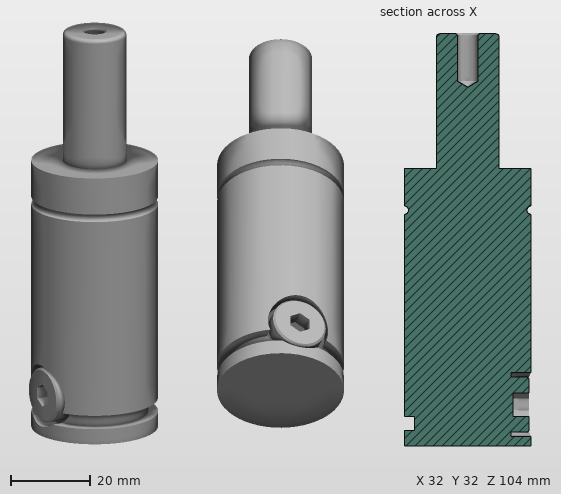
import cadquery as cq
import math

body_diameter = 32.0
body_height = 70.0

base_groove_diameter = 27.0
base_groove_bottom = 4.0
base_groove_top = 7.5

head_groove_radius = 1.0
head_groove_height = 59.5

rod_diameter = 16.0
overall_height = 104.0
rod_edge_radius = 1.0

rod_hole_diameter = 5.0
rod_hole_mouth_diameter = 6.0
rod_hole_depth = 12.0
drill_point_angle = 118.0

plug_height = 10.5
spotface_diameter = 16.0
spotface_floor = 11.0
plug_diameter = 14.0
plug_face = 15.5
plug_chamfer = 0.5
socket_across_flats = 5.0
socket_depth = 4.0


def make_body():
    """Plain cylinder with the fixing groove and the head groove turned into it."""
    body = cq.Workplane("XY").circle(body_diameter / 2).extrude(body_height)
    fixing_groove = (
        cq.Workplane("XY")
        .workplane(offset=base_groove_bottom)
        .circle(body_diameter / 2)
        .circle(base_groove_diameter / 2)
        .extrude(base_groove_top - base_groove_bottom)
    )
    return body.cut(fixing_groove).cut(make_head_groove())


def make_head_groove():
    """Ring of round section centred on the body surface, giving a half-round groove."""
    return cq.Workplane(
        cq.Solid.makeTorus(
            body_diameter / 2,
            head_groove_radius,
            cq.Vector(0, 0, head_groove_height),
        )
    )


def make_rod():
    """Piston rod with a rounded end edge."""
    return (
        cq.Workplane("XY")
        .workplane(offset=body_height)
        .circle(rod_diameter / 2)
        .extrude(overall_height - body_height)
        .faces(">Z")
        .edges()
        .fillet(rod_edge_radius)
    )


def make_rod_hole():
    """Blind hole with a 45 degree countersunk mouth and a conical drill point."""
    hole_radius = rod_hole_diameter / 2
    mouth_radius = rod_hole_mouth_diameter / 2
    countersink_depth = mouth_radius - hole_radius
    hole_bottom = overall_height - rod_hole_depth
    point_length = hole_radius / math.tan(math.radians(drill_point_angle / 2))
    return (
        cq.Workplane("XZ")
        .moveTo(0, overall_height)
        .lineTo(mouth_radius, overall_height)
        .lineTo(hole_radius, overall_height - countersink_depth)
        .lineTo(hole_radius, hole_bottom)
        .lineTo(0, hole_bottom - point_length)
        .close()
        .revolve(360, (0, 0, 0), (0, 1, 0))
    )


def plug_plane(distance):
    """Workplane facing -Y, centred on the plug axis at a distance from the body axis."""
    return cq.Workplane("XZ", origin=(0, -distance, plug_height))


def make_spotface():
    """Round pocket cut into the body from the -Y side."""
    return (
        plug_plane(spotface_floor)
        .circle(spotface_diameter / 2)
        .extrude(body_diameter / 2 - spotface_floor)
    )


def make_plug():
    """Chamfered round plug with a hexagon socket, two corners pointing up and down."""
    plug = (
        plug_plane(spotface_floor)
        .circle(plug_diameter / 2)
        .extrude(plug_face - spotface_floor)
        .faces("<Y")
        .edges()
        .chamfer(plug_chamfer)
    )
    across_corners = socket_across_flats / math.cos(math.pi / 6)
    socket = (
        plug_plane(plug_face - socket_depth)
        .transformed(rotate=(0, 0, 90))
        .polygon(6, across_corners)
        .extrude(socket_depth)
    )
    return plug.cut(socket)


result = (
    make_body()
    .union(make_rod())
    .cut(make_rod_hole())
    .cut(make_spotface())
    .union(make_plug())
)